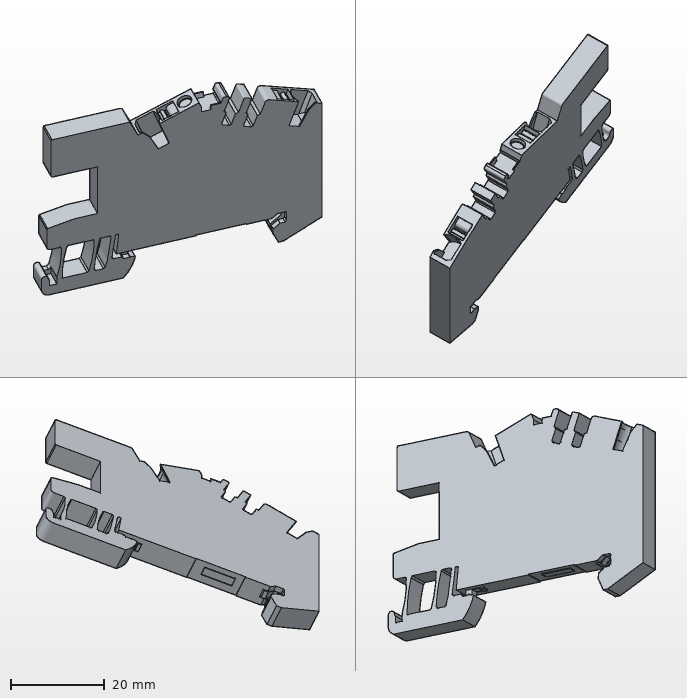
import cadquery as cq
import math

LENGTH = 63.8
HEIGHT = 43.6
THICKNESS = 5.1
SIDE = THICKNESS / 2

SLOPE_ANGLE = 20.0
SLOPE = math.tan(math.radians(SLOPE_ANGLE))
BACK_SLOPE_FOOT = (LENGTH, 35.7)
FRONT_SLOPE_TOP_Y = 35.8
FRONT_SLOPE_FOOT_Y = 21.95
FRONT_SLOPE_FOOT = (FRONT_SLOPE_FOOT_Y, HEIGHT - (FRONT_SLOPE_TOP_Y - FRONT_SLOPE_FOOT_Y) * SLOPE)
LUG_FRONT_Y = 41.3
LUG_TOP_Y = LENGTH - (HEIGHT - BACK_SLOPE_FOOT[1]) / SLOPE

BASE_Z = 7.1
FOOT_TOP_Z = 5.35
LEG_TOP_Z = 12.45
LEG_BOTTOM_Z = 3.8
SHELF_Z = 42.15
PLUG_TOP_Z = 42.65
PLUG_BOTTOM_Z = 32.3
BASE_RECESS = (35.1, 46.55)
BASE_RECESS_TOP_Z = 7.3

NOTCH_X_START = -1.2
NOTCH_Y = (1.85, 3.5)
NOTCH_Z = (2.55, 4.7)

SLOT_FIRST_CENTRE = 15.25
SLOT_PITCH = 5.3
SLOT_COUNT = 2
SLOT_TOP_WIDTH = 3.45
SLOT_BOTTOM_WIDTH = 2.3
SLOT_STEP_START = 3.9
SLOT_STEP_END = 4.3
SLOT_DEPTH = 7.4
SLOT_CORNER = 0.3
FIRST_SLOT_ROUNDING = 0.75
RIB_ROUNDING = 0.3
LUG_BACK_ROUNDING = 0.5
LUG_FRONT_ROUNDING = 0.45

SEAT_FLOOR_Z = 41.0
SEAT_FRONT_Y = 36.4
SEAT_MIDDLE_Y = 38.5
SEAT_BACK_Y = 40.8
SEAT_UNDERCUT = 0.4
SEAT_WALL_FOOT = 0.6
SEAT_WALL_TOP = 0.25

BACK_STATION_OFFSET = 1.1
FRONT_STATION_OFFSET = 0.6
FUNNEL_X = (-1.85, 2.2)
FUNNEL_STRAIGHT = 4.7
FUNNEL_LENGTH = 5.35
FUNNEL_DEPTH = 6.4
FUNNEL_BEVEL_START = 5.05
FUNNEL_BEVEL_WIDTH = 0.75
FUNNEL_CORNER = (0.95, 0.65)
FUNNEL_OPENING_END = 4.6
WINDOW_X = (-1.85, 2.0)
WINDOW_START = 5.5
WINDOW_LENGTH = 4.0
WINDOW_DEPTH = 3.8
LEVER_GAP = 0.25

PIN_OFFSET = 12.2
PIN_DIAMETER = 2.9
PIN_LENGTH = 3.8
PIN_HOLE_DIAMETER = 3.3
PIN_SETBACK = 0.9

CONTACT_X = (-0.65, 1.3)
CONTACT_TOP_Z = 8.9
CONTACT_BACK_Y = 56.3


def prism(outline, x_start=-SIDE, x_end=SIDE):
    """Extrude a closed (Y, Z) outline from x_start to x_end."""
    return cq.Workplane("YZ").workplane(offset=x_start).polyline(outline).close().extrude(x_end - x_start)


def block(x_range, y_range, z_range):
    """Box given by its start and end along each axis."""
    sizes = [end - start for start, end in (x_range, y_range, z_range)]
    corner = (x_range[0], y_range[0], z_range[0])
    return cq.Workplane("XY").box(*sizes, centered=False).translate(corner)


def on_front_slope(shape):
    """Move a shape modelled on Z = 0, uphill along +Y, onto the front slope."""
    return shape.rotate((0, 0, 0), (1, 0, 0), SLOPE_ANGLE).translate((0, *FRONT_SLOPE_FOOT))


def on_back_slope(shape):
    """Move a shape modelled on Z = 0, uphill along +Y, onto the back slope."""
    mirrored = shape.mirror("XZ")
    return mirrored.rotate((0, 0, 0), (1, 0, 0), -SLOPE_ANGLE).translate((0, *BACK_SLOPE_FOOT))


def at_stations(shape):
    """The two copies of a wire station shape, on the back and on the front slope."""
    return [
        on_back_slope(shape.translate((0, BACK_STATION_OFFSET, 0))),
        on_front_slope(shape.translate((0, FRONT_STATION_OFFSET, 0))),
    ]


def housing_outline():
    """Side outline of the housing with its rail hook and its sprung foot."""
    return (
        cq.Workplane("YZ")
        .workplane(offset=-SIDE)
        .moveTo(*BACK_SLOPE_FOOT)
        .lineTo(LUG_TOP_Y, HEIGHT)
        .lineTo(LUG_FRONT_Y, HEIGHT)
        .lineTo(40.75, SHELF_Z)
        .lineTo(SEAT_FRONT_Y, SHELF_Z)
        .lineTo(FRONT_SLOPE_TOP_Y, HEIGHT)
        .lineTo(*FRONT_SLOPE_FOOT)
        .lineTo(20.35, 42.0)
        .threePointArc((20.1, 42.5), (19.5, PLUG_TOP_Z))
        .lineTo(2.4, PLUG_TOP_Z)
        .lineTo(2.2, 42.4)
        .lineTo(2.2, 32.6)
        .lineTo(2.4, PLUG_BOTTOM_Z)
        .lineTo(12.75, PLUG_BOTTOM_Z)
        .lineTo(12.75, 19.45)
        .lineTo(7.6, 19.45)
        .lineTo(1.4, 18.4)
        .lineTo(1.2, 18.2)
        .lineTo(1.2, 13.3)
        .threePointArc((1.45, 12.7), (2.05, LEG_TOP_Z))
        .lineTo(4.2, LEG_TOP_Z)
        .lineTo(4.5, 12.1)
        .threePointArc((4.35, 8.3), (3.6, 4.7))
        .threePointArc((3.4, 4.15), (2.95, LEG_BOTTOM_Z))
        .lineTo(2.25, LEG_BOTTOM_Z)
        .threePointArc((1.7, 4.15), (1.5, 4.65))
        .threePointArc((0.75, FOOT_TOP_Z), (0, 4.6))
        .lineTo(0, 1.85)
        .threePointArc((0.54, 0.54), (1.85, 0))
        .lineTo(18.6, 0)
        .threePointArc((20.35, 2.4), (21.35, 5.1))
        .lineTo(20.1, FOOT_TOP_Z + 0.25)
        .lineTo(20.1, FOOT_TOP_Z)
        .lineTo(18.7, FOOT_TOP_Z)
        .lineTo(18.25, 5.9)
        .lineTo(16.3, 5.9)
        .lineTo(16.0, 6.25)
        .lineTo(16.8, 12.1)
        .threePointArc((17.15, LEG_TOP_Z), (17.55, 12.1))
        .lineTo(17.0, BASE_Z)
        .lineTo(52.35, BASE_Z)
        .lineTo(53.7, 8.1)
        .lineTo(55.4, 8.1)
        .lineTo(55.7, 7.8)
        .lineTo(55.7, 5.75)
        .lineTo(55.35, 5.3)
        .lineTo(54.2, 5.3)
        .lineTo(52.7, 4.15)
        .lineTo(52.55, 2.95)
        .lineTo(53.8, 0.1)
        .lineTo(55.0, 0.1)
        .lineTo(LENGTH, 4.4)
        .close()
        .extrude(THICKNESS)
    )


def leg_windows():
    """Two windows that leave three thin bowed legs above the foot."""
    rear = (
        cq.Workplane("YZ")
        .workplane(offset=-SIDE)
        .moveTo(15.5, LEG_TOP_Z)
        .lineTo(13.6, LEG_TOP_Z)
        .lineTo(13.25, 12.1)
        .threePointArc((12.45, 8.2), (12.0, 4.3))
        .lineTo(12.3, LEG_BOTTOM_Z)
        .lineTo(14.1, LEG_BOTTOM_Z)
        .lineTo(14.5, 4.15)
        .lineTo(15.0, 6.0)
        .lineTo(15.8, 12.0)
        .close()
    )
    middle = (
        cq.Workplane("YZ")
        .workplane(offset=-SIDE)
        .moveTo(11.7, LEG_TOP_Z)
        .lineTo(6.05, LEG_TOP_Z)
        .lineTo(5.75, 12.0)
        .threePointArc((5.0, 8.05), (4.7, LEG_BOTTOM_Z))
        .lineTo(10.4, LEG_BOTTOM_Z)
        .lineTo(10.8, 4.15)
        .threePointArc((11.7, 8.15), (12.0, 12.1))
        .close()
    )
    return [rear.extrude(THICKNESS), middle.extrude(THICKNESS)]


def marker_slots():
    """Stepped slots square to the back slope, open to both sides."""
    top = SLOT_TOP_WIDTH / 2
    bottom = SLOT_BOTTOM_WIDTH / 2
    outline = [
        (-top, SLOT_STEP_START),
        (-top, -SLOT_STEP_START),
        (-bottom, -SLOT_STEP_END),
        (-bottom, -SLOT_DEPTH + SLOT_CORNER),
        (-bottom + SLOT_CORNER, -SLOT_DEPTH),
        (bottom - SLOT_CORNER, -SLOT_DEPTH),
        (bottom, -SLOT_DEPTH + SLOT_CORNER),
        (bottom, -SLOT_STEP_END),
        (top, -SLOT_STEP_START),
        (top, SLOT_STEP_START),
    ]
    slot = prism(outline)
    centres = [SLOT_FIRST_CENTRE + index * SLOT_PITCH for index in range(SLOT_COUNT)]
    return [on_back_slope(slot.translate((0, centre, 0))) for centre in centres]


def back_slope_point(distance):
    """Point on the back slope at a distance uphill from its foot."""
    angle = math.radians(SLOPE_ANGLE)
    foot_y, foot_z = BACK_SLOPE_FOOT
    return (0, foot_y - distance * math.cos(angle), foot_z + distance * math.sin(angle))


def round_slot_rims(body):
    """Round the first slot's back rim, the rib's front edge and both top edges of the lug."""
    half_slot = SLOT_TOP_WIDTH / 2
    last_centre = SLOT_FIRST_CENTRE + (SLOT_COUNT - 1) * SLOT_PITCH
    rounded_edges = [
        (back_slope_point(SLOT_FIRST_CENTRE - half_slot), FIRST_SLOT_ROUNDING),
        (back_slope_point(last_centre - half_slot), RIB_ROUNDING),
        (back_slope_point(last_centre + half_slot), LUG_BACK_ROUNDING),
        ((0, LUG_FRONT_Y, HEIGHT), LUG_FRONT_ROUNDING),
    ]
    for point, radius in rounded_edges:
        edge = cq.selectors.NearestToPointSelector(point)
        body = body.edges("|X").edges(edge).fillet(radius)
    return body


def latch_seat():
    """Sunken seat in the shelf, walled on +X at its back half and on -X at its front half."""
    section = [
        (-SIDE, SEAT_FLOOR_Z),
        (SIDE - SEAT_WALL_FOOT, SEAT_FLOOR_Z),
        (SIDE - SEAT_WALL_TOP, SHELF_Z),
        (-SIDE, SHELF_Z),
    ]
    back_half = (
        cq.Workplane("XZ", origin=(0, SEAT_BACK_Y, 0))
        .polyline(section)
        .close()
        .extrude(SEAT_BACK_Y - SEAT_MIDDLE_Y)
    )
    front_half = (
        cq.Workplane("XZ", origin=(0, SEAT_MIDDLE_Y, 0))
        .polyline([(-x, z) for x, z in section])
        .close()
        .extrude(SEAT_MIDDLE_Y - SEAT_FRONT_Y)
    )
    undercut_outline = [
        (SEAT_BACK_Y, SEAT_FLOOR_Z),
        (SEAT_BACK_Y + SEAT_UNDERCUT, SEAT_FLOOR_Z + SEAT_UNDERCUT),
        (SEAT_BACK_Y + SEAT_UNDERCUT, SHELF_Z - SEAT_UNDERCUT),
        (SEAT_BACK_Y, SHELF_Z),
    ]
    return [back_half, front_half, prism(undercut_outline, -SIDE, SIDE - SEAT_WALL_FOOT)]


def funnel():
    """Wire entry with a rounded uphill end, bevelled bottom and an opening in the +X side."""
    left, right = FUNNEL_X
    corner_x, corner_y = FUNNEL_CORNER
    pocket = (
        cq.Workplane("XY")
        .moveTo(left + corner_x, 0)
        .lineTo(right, 0)
        .lineTo(right, FUNNEL_STRAIGHT)
        .threePointArc(((left + right) / 2, FUNNEL_LENGTH), (left, FUNNEL_STRAIGHT))
        .lineTo(left, corner_y)
        .close()
        .extrude(-FUNNEL_DEPTH)
    )
    bevel_outline = [
        (0, -FUNNEL_BEVEL_START),
        (FUNNEL_BEVEL_WIDTH, -FUNNEL_DEPTH),
        (0, -FUNNEL_DEPTH),
    ]
    side_outline = [
        (0.5, 0),
        (1.45, -2.05),
        (2.05, -FUNNEL_DEPTH),
        (FUNNEL_OPENING_END, -FUNNEL_DEPTH),
        (FUNNEL_OPENING_END, 0),
    ]
    side_opening = prism(side_outline, 0, SIDE)
    return pocket.cut(prism(bevel_outline)).union(side_opening)


def lever_window():
    """Rectangular well that holds a release lever."""
    return block(WINDOW_X, (WINDOW_START, WINDOW_START + WINDOW_LENGTH), (-WINDOW_DEPTH, 0))


def pin_hole():
    """Wide mouth above the test pin, square to the front slope."""
    hole = cq.Workplane("XY").circle(PIN_HOLE_DIAMETER / 2).extrude(-PIN_SETBACK)
    return on_front_slope(hole.translate((0, PIN_OFFSET, 0)))


def make_housing(fitted_bodies):
    """Housing with its openings and a matching recess for each fitted body."""
    body = housing_outline()
    for slot in marker_slots():
        body = body.cut(slot)
    body = round_slot_rims(body)
    base_recess = block((-SIDE, SIDE), BASE_RECESS, (BASE_Z, BASE_RECESS_TOP_Z))
    blade_notch = block((NOTCH_X_START, SIDE), NOTCH_Y, NOTCH_Z)
    openings = [*leg_windows(), *latch_seat(), base_recess, blade_notch, pin_hole()]
    openings += at_stations(funnel()) + at_stations(lever_window())
    for opening in openings + fitted_bodies:
        body = body.cut(opening)
    return body


def make_levers():
    """Release levers: a high pad uphill, a rounded drop and a low rounded ridge downhill."""
    left, right = WINDOW_X
    lever = (
        cq.Workplane("YZ")
        .workplane(offset=left)
        .moveTo(0, -WINDOW_DEPTH)
        .lineTo(0, -1.15)
        .lineTo(0.5, -1.15)
        .lineTo(0.6, -0.8)
        .threePointArc((1.1, -0.95), (1.4, -1.35))
        .lineTo(1.65, -1.6)
        .lineTo(2.0, -1.65)
        .threePointArc((2.2, -0.8), (2.7, -0.5))
        .lineTo(WINDOW_LENGTH, -0.5)
        .lineTo(WINDOW_LENGTH, -WINDOW_DEPTH)
        .close()
        .extrude(right - LEVER_GAP - left)
    )
    return at_stations(lever.translate((0, WINDOW_START, 0)))


def make_test_pin():
    """Round pin set back below the front slope."""
    pin = cq.Workplane("XY").circle(PIN_DIAMETER / 2).extrude(-PIN_LENGTH)
    return on_front_slope(pin.translate((0, PIN_OFFSET, -PIN_SETBACK)))


def make_rail_contact():
    """Flat contact that lines the rail hook, runs along the base and stands on the foot."""
    outline = [
        (53.7, 3.3),
        (52.35, 3.3),
        (52.4, 4.6),
        (54.65, 6.25),
        (55.05, 6.75),
        (54.8, 8.1),
        (53.8, 8.1),
        (52.5, 6.75),
        (51.5, 6.75),
        (51.3, BASE_Z),
        (51.0, 7.65),
        (44.75, 7.65),
        (44.75, BASE_Z),
        (37.6, BASE_Z),
        (37.6, 7.65),
        (23.1, 7.65),
        (22.9, 6.75),
        (22.1, 6.75),
        (22.0, 6.95),
        (20.3, 6.95),
        (20.1, FOOT_TOP_Z),
        (18.7, FOOT_TOP_Z),
        (18.7, CONTACT_TOP_Z),
        (CONTACT_BACK_Y, CONTACT_TOP_Z),
        (CONTACT_BACK_Y, 4.7),
    ]
    return prism(outline, *CONTACT_X)


levers = make_levers()
test_pin = make_test_pin()
rail_contact = make_rail_contact()
housing = make_housing([test_pin, rail_contact])

result = cq.Compound.makeCompound(
    [housing.val(), rail_contact.val(), test_pin.val(), *[lever.val() for lever in levers]]
)